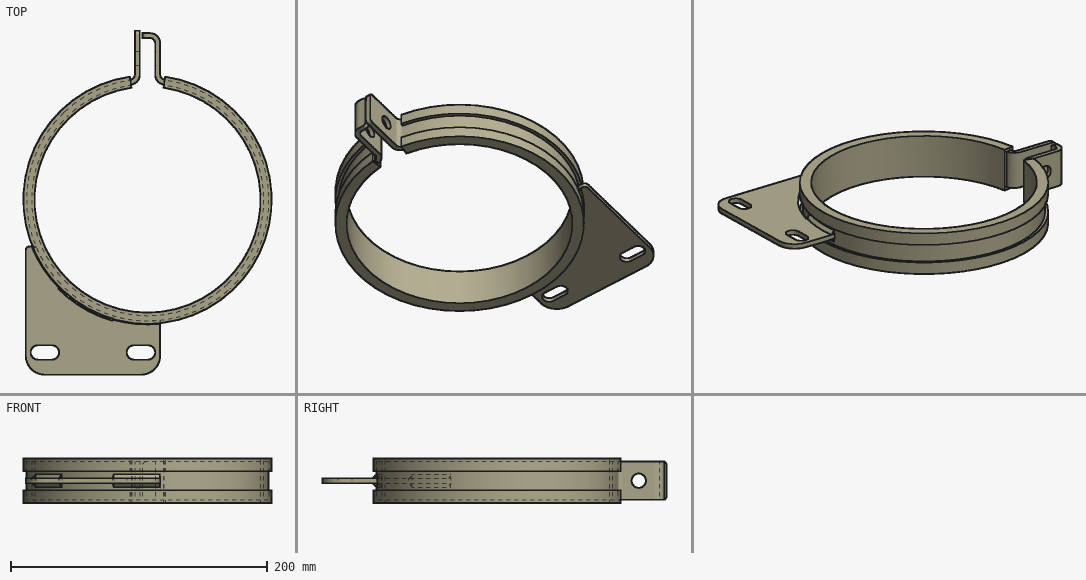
import cadquery as cq
import math


overall_length = 268.7

strap_thickness = 4.0
strap_width = 30.0
strap_outer_radius = 94.5
strap_inner_radius = strap_outer_radius - strap_thickness
strap_corner_radius = 3.0

ear_inner_x = 6.0
ear_outer_x = ear_inner_x + strap_thickness
ear_top = 132.0
bend_inner_radius = 4.0
bend_outer_radius = bend_inner_radius + strap_thickness
hook_top = 130.0
hook_tip_x = -4.0
bolt_diameter = 11.0
bolt_y = 110.2

bend_x = ear_outer_x + bend_inner_radius
bend_center_distance = strap_outer_radius + bend_inner_radius
bend_y = math.sqrt(bend_center_distance**2 - bend_x**2)
split_half_angle = math.degrees(math.asin(bend_x / bend_center_distance))

liner_wall = 2.5
liner_height = strap_width + 2 * liner_wall
liner_outer_radius = strap_outer_radius + liner_wall
liner_inner_radius = strap_inner_radius - liner_wall
groove_width = 15.0

plate_thickness = 4.0
plate_left = -95.0
plate_right = ear_outer_x
plate_bottom = ear_top - overall_length
plate_top = -36.5
plate_corner_radius = 15.0
plate_tip_radius = 3.0
relief_radius = 98.3
slot_width = 11.0
slot_length = 22.0
slot_spacing = 75.0
slot_edge_distance = 17.5
plate_center_x = (plate_left + plate_right) / 2

weld_leg = 3.0
weld_sweep = 22
weld_start_angles = (203, 253.8)
relief_start = weld_start_angles[0] + weld_sweep
relief_end = weld_start_angles[1]


def polar(radius, angle):
    """Point in the XY plane at an angle in degrees from +X."""
    return (radius * math.cos(math.radians(angle)), radius * math.sin(math.radians(angle)))


def centered_prism(sketch, height):
    return sketch.extrude(height / 2, both=True)


def disc(radius, height):
    return centered_prism(cq.Workplane("XY").circle(radius), height)


def open_ring(inner_radius, outer_radius, height):
    """Ring that is split at +Y, with radial ends."""
    right_end = 90 - split_half_angle
    left_end = 90 + split_half_angle
    sketch = (
        cq.Workplane("XY")
        .moveTo(*polar(outer_radius, right_end))
        .threePointArc((0, -outer_radius), polar(outer_radius, left_end))
        .lineTo(*polar(inner_radius, left_end))
        .threePointArc((0, -inner_radius), polar(inner_radius, right_end))
        .close()
    )
    return centered_prism(sketch, height)


def make_liner():
    body = open_ring(liner_inner_radius, liner_outer_radius, liner_height)
    strap_channel = open_ring(strap_inner_radius, strap_outer_radius, strap_width)
    groove = open_ring(strap_outer_radius, liner_outer_radius, groove_width)
    return body.cut(strap_channel).cut(groove)


def ear_bend(side):
    """Bend from the ring into an ear; side is -1 for left and +1 for right."""
    def bend_point(radius, angle):
        x, y = polar(radius, angle)
        return (side * (bend_x + x), bend_y + y)

    ear_angle = 180
    ring_angle = 270 - split_half_angle
    middle_angle = (ear_angle + ring_angle) / 2
    sketch = (
        cq.Workplane("XY")
        .moveTo(*bend_point(bend_inner_radius, ear_angle))
        .threePointArc(
            bend_point(bend_inner_radius, middle_angle), bend_point(bend_inner_radius, ring_angle)
        )
        .lineTo(*bend_point(bend_outer_radius, ring_angle))
        .threePointArc(
            bend_point(bend_outer_radius, middle_angle), bend_point(bend_outer_radius, ear_angle)
        )
        .close()
    )
    return centered_prism(sketch, strap_width)


def make_straight_ear():
    ear = centered_prism(
        cq.Workplane("XY").moveTo(-ear_outer_x, bend_y).lineTo(-ear_inner_x, bend_y)
        .lineTo(-ear_inner_x, ear_top).lineTo(-ear_outer_x, ear_top).close(),
        strap_width,
    )
    return ear.faces(">Y").edges("|X").fillet(strap_corner_radius)


def make_hooked_ear():
    hook_underside = hook_top - strap_thickness
    ear = centered_prism(
        cq.Workplane("XY").moveTo(ear_inner_x, bend_y).lineTo(ear_outer_x, bend_y)
        .lineTo(ear_outer_x, hook_top).lineTo(hook_tip_x, hook_top)
        .lineTo(hook_tip_x, hook_underside).lineTo(ear_inner_x, hook_underside).close(),
        strap_width,
    )
    outer_corner = cq.NearestToPointSelector((ear_outer_x, hook_top, 0))
    inner_corner = cq.NearestToPointSelector((ear_inner_x, hook_underside, 0))
    ear = ear.edges("|Z").edges(outer_corner).fillet(bend_outer_radius)
    ear = ear.edges("|Z").edges(inner_corner).fillet(bend_inner_radius)
    return ear.faces("<X").edges("|Y").fillet(strap_corner_radius)


def make_strap():
    strap = open_ring(strap_inner_radius, strap_outer_radius, strap_width)
    for side in (-1, 1):
        strap = strap.union(ear_bend(side))
    strap = strap.union(make_straight_ear()).union(make_hooked_ear())
    bolt_hole = (
        cq.Workplane("YZ").center(bolt_y, 0).circle(bolt_diameter / 2)
        .extrude(2 * ear_outer_x, both=True)
    )
    return strap.cut(bolt_hole)


def ring_sector(start_angle, end_angle, radius, height):
    """Sector of a disc about the ring axis."""
    sketch = (
        cq.Workplane("XY")
        .lineTo(*polar(radius, start_angle))
        .threePointArc(polar(radius, (start_angle + end_angle) / 2), polar(radius, end_angle))
        .close()
    )
    return centered_prism(sketch, height)


def make_plate():
    width = plate_right - plate_left
    depth = plate_top - plate_bottom
    plate = (
        cq.Workplane("XY")
        .center(plate_center_x, (plate_top + plate_bottom) / 2)
        .box(width, depth, plate_thickness)
    )
    plate = plate.edges("|Z").edges("<Y").fillet(plate_corner_radius)
    plate = plate.edges("|Z").edges(">Y").edges("<X").fillet(plate_tip_radius)
    plate = plate.cut(disc(strap_outer_radius, plate_thickness))
    plate = plate.cut(ring_sector(relief_start, relief_end, relief_radius, plate_thickness))
    slots = centered_prism(
        cq.Workplane("XY")
        .center(plate_center_x, plate_bottom + slot_edge_distance)
        .rarray(slot_spacing, 2.7, 2, 1)
        .slot2D(slot_length, slot_width),
        plate_thickness,
    )
    return plate.cut(slots)


def make_weld(start_angle, side):
    """Triangular bead in the corner of strap and plate; side is +1 above and -1 below."""
    plate_face = side * plate_thickness / 2
    return (
        cq.Workplane("XZ")
        .moveTo(strap_outer_radius, plate_face)
        .lineTo(strap_outer_radius + weld_leg, plate_face)
        .lineTo(strap_outer_radius, plate_face + side * weld_leg)
        .close()
        .revolve(weld_sweep, (0, 0, 0), (0, 1, 0))
        .rotate((0, 0, 0), (0, 0, 1), start_angle)
    )


liner = make_liner()
strap = make_strap()
plate = make_plate()
welds = [make_weld(angle, side) for angle in weld_start_angles for side in (1, -1)]

result = cq.Compound.makeCompound(
    [liner.val(), strap.val(), plate.val(), *[weld.val() for weld in welds]]
)